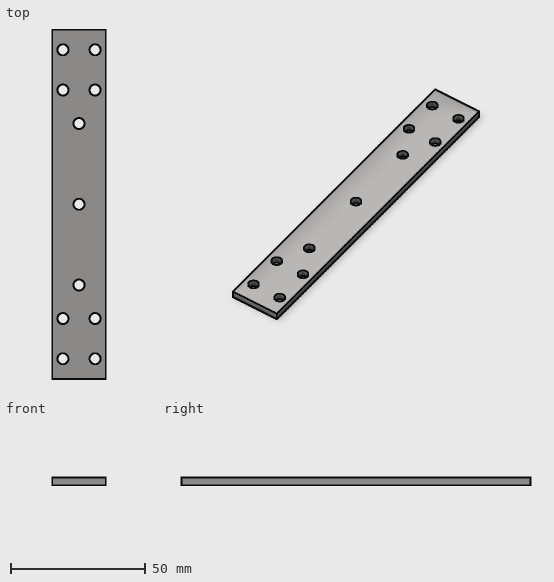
import cadquery as cq

length = 130.0
width = 20.0
thickness = 3.0

hole_diameter = 4.0
end_pair_spacing = 12.0
outer_pair_offset = 57.5
inner_pair_offset = 42.5
center_row_pitch = 30.0

pair_holes = [
    (side * end_pair_spacing / 2, end * offset)
    for side in (-1, 1)
    for end in (-1, 1)
    for offset in (inner_pair_offset, outer_pair_offset)
]

center_holes = [(0, step * center_row_pitch) for step in (-1, 0, 1)]

result = (
    cq.Workplane("XY")
    .box(width, length, thickness)
    .faces(">Z")
    .workplane()
    .pushPoints(pair_holes + center_holes)
    .hole(hole_diameter)
)